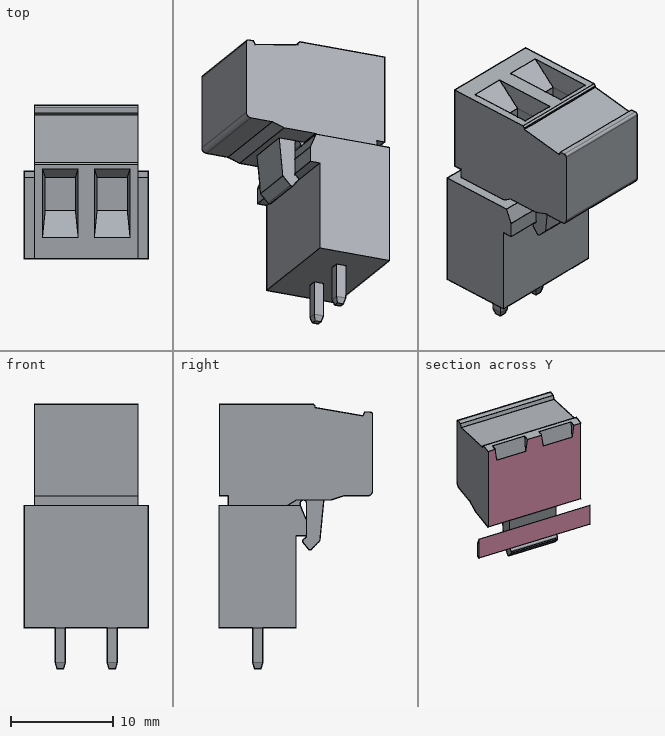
import cadquery as cq


POLE_COUNT = 2
PITCH = 5.08
POLE_POSITIONS = [(i - (POLE_COUNT - 1) / 2) * PITCH for i in range(POLE_COUNT)]

HEADER_WIDTH = 12.15
HEADER_DEPTH = 7.55
HEADER_BOTTOM = 4.01
HEADER_TOP = 15.98
CATCH_DEPTH = 8.57
CATCH_BOTTOM = 13.0
CATCH_RAMP_BOTTOM = 14.55
CATCH_RAMP_TOP_DEPTH = 7.98

PIN_SIZE = 1.0
PIN_TIP_SIZE = 0.65
PIN_TIP_HEIGHT = 0.6
PIN_Y = 3.8

PLUG_WIDTH = POLE_COUNT * PITCH
PLUG_FRONT = 0.05
PLUG_BACK = 15.05
PLUG_TOP = 25.9
PLUG_REAR_BOTTOM = 16.9
PLUG_MIDDLE_BOTTOM = 16.5
NOTCH_BACK = 0.9
NECK_BACK = 6.73
NECK_RAMP_TOP_DEPTH = 7.55
REAR_RAMP_START = 10.95
REAR_RAMP_END = 12.22
STEP_BACK = 9.43
STEP_BOTTOM = 25.56
STEP_CHAMFER = 0.18
LIP_TOP = 25.12
LIP_FRONT = 14.27
LIP_FOOT = 14.1
LIP_FOOT_HEIGHT = 24.75
LIP_ROUND = 0.25
REAR_ROUND = 0.5

FUNNEL_WIDTH = 3.5
FUNNEL_FRONT = 2.07
FUNNEL_BACK = 8.8
FUNNEL_DEPTH = 2.0
CHAMBER_WIDTH = 2.95
CHAMBER_FRONT = 4.75
CHAMBER_BACK = 7.98
CHAMBER_DEPTH = 2.0

LATCH_WIDTH = PITCH
LATCH_ROOT_BACK = 10.28
LATCH_KNEE = (9.9, 12.54)
LATCH_TIP_BACK = (9.06, 11.68)
LATCH_TIP_BOTTOM = (8.9, 11.63)
LATCH_TIP_FRONT = (8.75, 11.7)
HOOK_LOWER = (8.24, 12.35)
HOOK_NOSE = (8.18, 12.5)
HOOK_UPPER = (8.25, 12.65)
HOOK_TOP = 12.92
ARCH_FRONT = CATCH_RAMP_TOP_DEPTH
ARCH_RADIUS = (CATCH_DEPTH - ARCH_FRONT) / 2


def side_profile():
    """Sketch plane whose local axes are Y and Z."""
    return cq.Workplane("YZ")


def extrude_centred(profile, width):
    """Extrude a closed side profile equally to both sides of X = 0."""
    return profile.extrude(width / 2, both=True)


def rectangle(plane_z, x, front, back, width):
    """Horizontal rectangle at one height, given by its front and back edges."""
    plane = cq.Workplane("XY", origin=(x, (front + back) / 2, plane_z))
    return plane.rect(width, back - front)


def make_header():
    outline = side_profile().polyline([
        (0, HEADER_BOTTOM),
        (HEADER_DEPTH, HEADER_BOTTOM),
        (HEADER_DEPTH, CATCH_BOTTOM),
        (CATCH_DEPTH, CATCH_BOTTOM),
        (CATCH_DEPTH, CATCH_RAMP_BOTTOM),
        (CATCH_RAMP_TOP_DEPTH, HEADER_TOP),
        (0, HEADER_TOP),
    ]).close()
    return extrude_centred(outline, HEADER_WIDTH)


def make_pin(x):
    shank = (
        cq.Workplane("XY", origin=(x, PIN_Y, PIN_TIP_HEIGHT))
        .rect(PIN_SIZE, PIN_SIZE)
        .extrude(HEADER_BOTTOM - PIN_TIP_HEIGHT)
    )
    tip = (
        cq.Workplane("XY", origin=(x, PIN_Y, 0))
        .rect(PIN_TIP_SIZE, PIN_TIP_SIZE)
        .workplane(offset=PIN_TIP_HEIGHT)
        .rect(PIN_SIZE, PIN_SIZE)
        .loft(ruled=True)
    )
    return shank.union(tip)


def make_plug_housing():
    outline = (
        side_profile()
        .moveTo(PLUG_FRONT, PLUG_TOP)
        .lineTo(PLUG_FRONT, PLUG_REAR_BOTTOM)
        .lineTo(NOTCH_BACK, PLUG_REAR_BOTTOM)
        .lineTo(NOTCH_BACK, HEADER_TOP)
        .lineTo(NECK_BACK, HEADER_TOP)
        .lineTo(NECK_RAMP_TOP_DEPTH, PLUG_MIDDLE_BOTTOM)
        .lineTo(REAR_RAMP_START, PLUG_MIDDLE_BOTTOM)
        .lineTo(REAR_RAMP_END, PLUG_REAR_BOTTOM)
        .lineTo(PLUG_BACK - REAR_ROUND, PLUG_REAR_BOTTOM)
        .radiusArc((PLUG_BACK, PLUG_REAR_BOTTOM + REAR_ROUND), -REAR_ROUND)
        .lineTo(PLUG_BACK, LIP_TOP - LIP_ROUND)
        .radiusArc((PLUG_BACK - LIP_ROUND, LIP_TOP), -LIP_ROUND)
        .lineTo(LIP_FRONT, LIP_TOP)
        .lineTo(LIP_FOOT, LIP_FOOT_HEIGHT)
        .lineTo(STEP_BACK, STEP_BOTTOM)
        .lineTo(STEP_BACK, PLUG_TOP - STEP_CHAMFER)
        .lineTo(STEP_BACK - STEP_CHAMFER, PLUG_TOP)
        .close()
    )
    return extrude_centred(outline, PLUG_WIDTH)


def make_latch():
    """Hooked arm joined by a small arch to a rib standing on the header."""
    arch_spring = PLUG_MIDDLE_BOTTOM - ARCH_RADIUS
    arch_middle = CATCH_DEPTH - ARCH_RADIUS
    outline = (
        side_profile()
        .moveTo(NECK_BACK, PLUG_REAR_BOTTOM)
        .lineTo(LATCH_ROOT_BACK, PLUG_REAR_BOTTOM)
        .lineTo(LATCH_ROOT_BACK, PLUG_MIDDLE_BOTTOM)
        .lineTo(*LATCH_KNEE)
        .lineTo(*LATCH_TIP_BACK)
        .threePointArc(LATCH_TIP_BOTTOM, LATCH_TIP_FRONT)
        .lineTo(*HOOK_LOWER)
        .threePointArc(HOOK_NOSE, HOOK_UPPER)
        .lineTo(CATCH_DEPTH, HOOK_TOP)
        .lineTo(CATCH_DEPTH, arch_spring)
        .threePointArc((arch_middle, PLUG_MIDDLE_BOTTOM), (ARCH_FRONT, arch_spring))
        .lineTo(ARCH_FRONT, HEADER_TOP)
        .lineTo(NECK_BACK, HEADER_TOP)
        .close()
    )
    return extrude_centred(outline, LATCH_WIDTH)


def make_wire_entry(x):
    """Tapered funnel leading down into a straight wire chamber."""
    funnel_bottom = PLUG_TOP - FUNNEL_DEPTH
    mouth = rectangle(PLUG_TOP, x, FUNNEL_FRONT, FUNNEL_BACK, FUNNEL_WIDTH).wires().val()
    throat = rectangle(funnel_bottom, x, CHAMBER_FRONT, CHAMBER_BACK, CHAMBER_WIDTH)
    funnel = cq.Solid.makeLoft([throat.wires().val(), mouth], True)
    return throat.extrude(-CHAMBER_DEPTH).union(cq.Workplane(funnel))


result = make_header().union(make_plug_housing()).union(make_latch())
for pole_x in POLE_POSITIONS:
    result = result.union(make_pin(pole_x)).cut(make_wire_entry(pole_x))